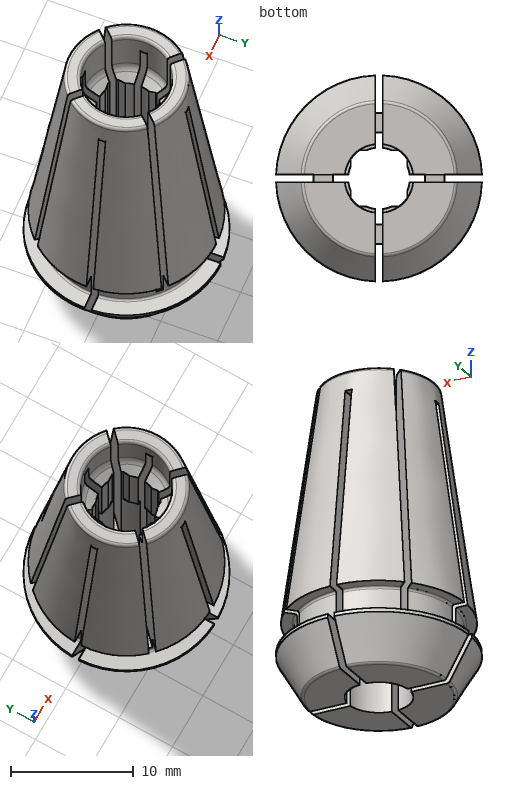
import cadquery as cq
import math

total_height = 27.5
rim_bottom_z = 3.65
rim_top_z = 4.0
groove_top_z = 6.68

rim_diameter = 16.8
rim_radius = rim_diameter / 2
nose_half_angle = 30.0
groove_radius = 6.9
taper_radius = 8.0
taper_half_angle = 8.0
nose_fillet = 0.3
groove_fillet = 0.2
top_outer_fillet = 0.28

rear_bore_radius = 3.75
rear_bore_depth = 4.4
rear_floor_z = total_height - rear_bore_depth
drill_half_angle = 59.0
rear_floor_fillet = 0.8
top_inner_fillet = 0.3
shank_radius = 2.8
shank_depth = 15.12
square_side = 4.56
square_relief_radius = 2.5

slot_width = 0.6
slots_per_set = 4
nose_slot_top_z = 25.58
rear_slot_bottom_z = 4.5


def slope(half_angle):
    """Radial change per unit of height on a cone with this half angle."""
    return math.tan(math.radians(half_angle))


def revolved(points):
    """Revolve a closed (radius, z) outline about the Z axis."""
    return cq.Workplane("XZ").polyline(points).close().revolve(360, (0, 0, 0), (0, 1, 0))


def fillet_circle(body, z, radius, size):
    """Round the circular edge with this height and radius."""
    margin = 0.015
    near = cq.selectors.BoxSelector(
        (-radius - margin, -radius - margin, z - margin),
        (radius + margin, radius + margin, z + margin),
        boundingbox=True,
    )
    inside = cq.selectors.BoxSelector(
        (-radius + margin, -radius + margin, z - margin),
        (radius - margin, radius - margin, z + margin),
        boundingbox=True,
    )
    return body.edges(near - inside).fillet(size)


def outer_body():
    nose_radius = rim_radius - rim_bottom_z * slope(nose_half_angle)
    top_radius = taper_radius - (total_height - groove_top_z) * slope(taper_half_angle)
    body = revolved([
        (0, 0),
        (nose_radius, 0),
        (rim_radius, rim_bottom_z),
        (rim_radius, rim_top_z),
        (groove_radius, rim_top_z),
        (groove_radius, groove_top_z),
        (taper_radius, groove_top_z),
        (top_radius, total_height),
        (0, total_height),
    ])
    body = fillet_circle(body, 0, nose_radius, nose_fillet)
    for z in (rim_top_z, groove_top_z):
        body = fillet_circle(body, z, groove_radius, groove_fillet)
    return fillet_circle(body, total_height, top_radius, top_outer_fillet)


def rear_bore():
    """Bore from the top face, ending in a drill point with a rounded corner."""
    tip_z = rear_floor_z - rear_bore_radius / slope(drill_half_angle)
    bore = revolved([
        (0, tip_z),
        (rear_bore_radius, rear_floor_z),
        (rear_bore_radius, total_height),
        (0, total_height),
    ])
    return fillet_circle(bore, rear_floor_z, rear_bore_radius, rear_floor_fillet)


def square_drive():
    """Square passage with rounded relief along its flats and corners cut to the shank bore."""
    length = rear_floor_z - shank_depth
    start = cq.Workplane("XY").workplane(offset=shank_depth)
    corner_limit = start.circle(shank_radius).extrude(length)
    relief = start.circle(square_relief_radius).extrude(length)
    return start.rect(square_side, square_side).extrude(length).intersect(corner_limit).union(relief)


def slot_set(bottom_z, top_z, start_angle):
    """Radial slots, evenly spaced about the axis, between two heights."""
    slots = cq.Workplane("XY")
    for i in range(slots_per_set):
        blade = cq.Workplane("XY").box(
            2 * rim_radius, slot_width, top_z - bottom_z, centered=(False, True, False)
        )
        blade = blade.translate((0, 0, bottom_z))
        slots = slots.add(blade.rotate((0, 0, 0), (0, 0, 1), start_angle + i * 360 / slots_per_set))
    return slots.combine()


body = outer_body().cut(rear_bore())
body = fillet_circle(body, total_height, rear_bore_radius, top_inner_fillet)
body = body.cut(square_drive())
body = body.cut(cq.Workplane("XY").circle(shank_radius).extrude(shank_depth))

body = body.cut(slot_set(0, nose_slot_top_z, 0))
result = body.cut(slot_set(rear_slot_bottom_z, total_height, 180 / slots_per_set))